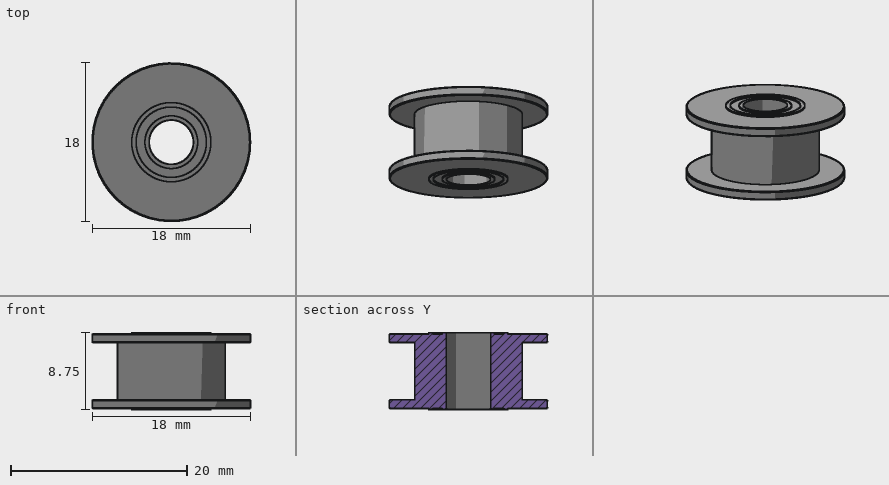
import cadquery as cq

flange_diameter = 18
total_height = 8.75
drum_diameter = 12.25
bore_diameter = 5.0

flange_thickness = 1.0
flange_chamfer = 0.1

bearing_diameter = 9
bearing_projection = 0.13
groove_outer_diameter = 8.0
groove_inner_diameter = 6.0
groove_depth = 0.13

half_height = total_height / 2
flange_outer_z = half_height - bearing_projection
flange_inner_z = flange_outer_z - flange_thickness


def cylinder(diameter, bottom, height):
    """Solid cylinder on the Z axis, starting at the given height."""
    return cq.Workplane("XY").workplane(offset=bottom).circle(diameter / 2).extrude(height)


def flange(bottom):
    """Belt guide disc with both rims chamfered."""
    return cylinder(flange_diameter, bottom, flange_thickness).edges().chamfer(flange_chamfer)


def shield_groove(bottom):
    """Shallow ring between the inner and outer bearing races."""
    outer = cylinder(groove_outer_diameter, bottom, groove_depth)
    return outer.cut(cylinder(groove_inner_diameter, bottom, groove_depth))


body = cylinder(drum_diameter, -flange_outer_z, 2 * flange_outer_z)
body = body.union(cylinder(bearing_diameter, -half_height, total_height))
for flange_bottom in (flange_inner_z, -flange_outer_z):
    body = body.union(flange(flange_bottom))

for groove_bottom in (half_height - groove_depth, -half_height):
    body = body.cut(shield_groove(groove_bottom))

result = body.cut(cylinder(bore_diameter, -half_height, total_height))